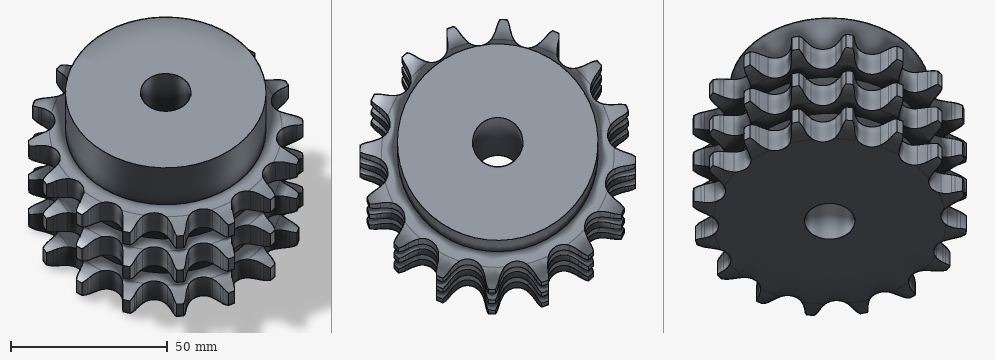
import cadquery as cq
import math

total_height = 60.0
hub_diameter = 64.0
bore_diameter = 16.0
tip_diameter = 88.0

rim_count = 3
rim_stack_height = 42.15
rim_gap = 7.5
rim_width = (rim_stack_height - (rim_count - 1) * rim_gap) / rim_count
rim_pitch = rim_width + rim_gap

tooth_count = 16
chain_pitch = 15.9
roller_diameter = 10.15

tooth_angle = 2 * math.pi / tooth_count
tip_radius = tip_diameter / 2
pitch_radius = chain_pitch / 2 / math.sin(tooth_angle / 2)

working_center_ratio = 0.8
topping_center_ratio = 1.4
seat_end_slope = math.radians(55 - 60 / tooth_count)
working_sweep = math.radians(18 - 56 / tooth_count)
topping_angle = math.radians(17 - 64 / tooth_count)
flank_slope = seat_end_slope + working_sweep

seat_radius = 5.1
working_center_offset = working_center_ratio * roller_diameter
topping_center_offset = topping_center_ratio * roller_diameter
working_radius = seat_radius + working_center_offset
flat_length = (
    topping_center_offset * math.sin(topping_angle)
    - working_center_offset * math.sin(working_sweep)
)
topping_radius = (
    working_center_offset * math.cos(working_sweep)
    + topping_center_offset * math.cos(topping_angle)
    - working_radius
)

tip_relief_depth = 1.6
tip_relief_radius = 16.0


def polar(radius, angle):
    """Point at a radius, with the angle measured from the +X axis."""
    return (radius * math.cos(angle), radius * math.sin(angle))


def rotated(point, angle):
    x, y = point
    return (
        x * math.cos(angle) - y * math.sin(angle),
        x * math.sin(angle) + y * math.cos(angle),
    )


def mirrored(point):
    return (point[0], -point[1])


def arc_point(center, radius, slope):
    """Point of a hollow gap arc where its tangent has the given slope."""
    return (center[0] - radius * math.cos(slope), center[1] + radius * math.sin(slope))


def upper_flank():
    """Points along the +Y side of a gap centred on +X, from its bottom to the tip."""
    seat_center = (pitch_radius, 0)
    seat_bottom = arc_point(seat_center, seat_radius, 0)
    seat_middle = arc_point(seat_center, seat_radius, seat_end_slope / 2)
    seat_end = arc_point(seat_center, seat_radius, seat_end_slope)
    working_center = arc_point(seat_center, -working_center_offset, seat_end_slope)
    working_middle = arc_point(working_center, working_radius, seat_end_slope + working_sweep / 2)
    working_end = arc_point(working_center, working_radius, flank_slope)
    flat_end = (
        working_end[0] + flat_length * math.sin(flank_slope),
        working_end[1] + flat_length * math.cos(flank_slope),
    )

    topping_center = arc_point(flat_end, topping_radius, flank_slope)
    center_distance = math.hypot(*topping_center)
    center_angle = math.atan2(topping_center[1], topping_center[0])
    tip_offset_cosine = (tip_radius**2 + center_distance**2 - topping_radius**2) / (
        2 * tip_radius * center_distance
    )
    tip = polar(tip_radius, center_angle - math.acos(tip_offset_cosine))
    tip_slope = math.atan2(topping_center[1] - tip[1], tip[0] - topping_center[0])
    topping_middle = arc_point(topping_center, -topping_radius, (flank_slope + tip_slope) / 2)
    return [
        seat_bottom,
        seat_middle,
        seat_end,
        working_middle,
        working_end,
        flat_end,
        topping_middle,
        tip,
    ]


def draw_down(outline, flank):
    """Continue the outline from a tooth tip to the bottom of the gap."""
    bottom, seat_middle, seat_end, working_middle, working_end, flat_end, topping_middle, _ = flank
    return (
        outline.threePointArc(topping_middle, flat_end)
        .lineTo(*working_end)
        .threePointArc(working_middle, seat_end)
        .threePointArc(seat_middle, bottom)
    )


def draw_up(outline, flank):
    """Continue the outline from the bottom of a gap to the next tooth tip."""
    _, seat_middle, seat_end, working_middle, working_end, flat_end, topping_middle, tip = flank
    return (
        outline.threePointArc(seat_middle, seat_end)
        .threePointArc(working_middle, working_end)
        .lineTo(*flat_end)
        .threePointArc(topping_middle, tip)
    )


def toothed_disc():
    upper = upper_flank()
    lower = [mirrored(point) for point in upper]
    lower_tip = lower[-1]
    outline = cq.Workplane("XY").moveTo(*lower_tip)
    for index in range(tooth_count):
        turn = index * tooth_angle
        outline = draw_down(outline, [rotated(point, turn) for point in lower])
        outline = draw_up(outline, [rotated(point, turn) for point in upper])
        tooth_middle = polar(tip_radius, turn + tooth_angle / 2)
        outline = outline.threePointArc(tooth_middle, rotated(lower_tip, turn + tooth_angle))
    return outline.close().extrude(rim_width)


def relief_length(depth):
    """Radial distance over which the rounding falls away by a depth."""
    return math.sqrt(tip_relief_radius**2 - (tip_relief_radius - depth) ** 2)


def rim_envelope():
    """Turned disc whose faces curve in towards the tips, tangent to the flat faces."""
    relief_start = tip_radius - relief_length(tip_relief_depth)
    middle_depth = tip_relief_depth / 4
    middle_radius = relief_start + relief_length(middle_depth)
    return (
        cq.Workplane("XZ")
        .lineTo(relief_start, 0)
        .threePointArc((middle_radius, middle_depth), (tip_radius, tip_relief_depth))
        .lineTo(tip_radius, rim_width - tip_relief_depth)
        .threePointArc((middle_radius, rim_width - middle_depth), (relief_start, rim_width))
        .lineTo(0, rim_width)
        .close()
        .revolve(360, (0, 0, 0), (0, 1, 0))
    )


rim = toothed_disc().intersect(rim_envelope())

result = cq.Workplane("XY").circle(hub_diameter / 2).extrude(total_height)
for level in range(rim_count):
    result = result.union(rim.translate((0, 0, level * rim_pitch)))

bore = cq.Workplane("XY").circle(bore_diameter / 2).extrude(total_height)
result = result.cut(bore)